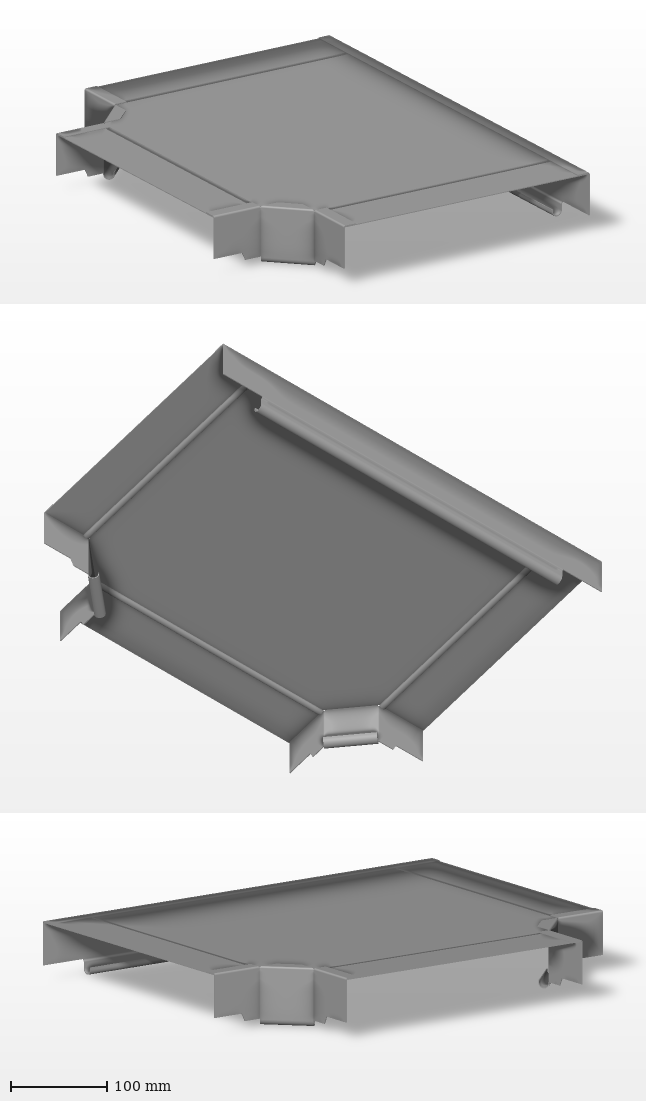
import cadquery as cq
import math


duct_width = 303.5
chamfer_leg = 40.0
branch_length = 58.0

sheet = 1.0
bend_radius = 2.0
corner_radius = 1.0
flange_width = 15.0
flange_relief = 1.0

end_depth = 47.5
wall_depth = 56.0
notch_length = 7.0
notch_slope = 0.8
total_depth = 63.0

hook_radius = 6.0
lip_depth = 54.5
joggle = 1.5
joggle_height = 3.0
back_hook_half_length = 198.0

groove_radius = 3.0
groove_offset = 0.5

half_width = duct_width / 2
corner_x = half_width + chamfer_leg
corner_y = -(duct_width + chamfer_leg)
end_x = corner_x + branch_length
end_y = corner_y - branch_length
plate_top = -sheet
plate_bottom = plate_top - sheet
groove_axis_offset = groove_offset + groove_radius
hook_axis_z = -total_depth + hook_radius
corner_angle = math.radians(45)
diagonal = math.cos(corner_angle)


def extrude_along(profile, start, inward, length):
    """Extrude a closed (inward, Z) profile along a wall whose outer face begins at start."""
    plane = cq.Plane(
        origin=(start[0], start[1], 0),
        xDir=(inward[0], inward[1], 0),
        normal=(inward[1], -inward[0], 0),
    )
    return profile(cq.Workplane(plane)).close().extrude(length)


def flange_profile(work):
    """Top flange with the rounded bend that leads down into the wall."""
    inner_radius = bend_radius - sheet
    mid = bend_radius * (1 - diagonal)
    inner_mid = bend_radius - inner_radius * diagonal
    return (
        work.moveTo(0, -bend_radius)
        .threePointArc((mid, -mid), (bend_radius, 0))
        .lineTo(flange_width, 0)
        .lineTo(flange_width, -sheet)
        .lineTo(bend_radius, -sheet)
        .threePointArc((inner_mid, -inner_mid), (sheet, -bend_radius))
    )


def hook_profile(work):
    """U-shaped hook that hangs from the bottom of a wall and turns inward."""
    inner_radius = hook_radius - sheet
    return (
        work.moveTo(0, -wall_depth)
        .lineTo(0, hook_axis_z)
        .threePointArc((hook_radius, -total_depth), (2 * hook_radius, hook_axis_z))
        .lineTo(2 * hook_radius, -lip_depth)
        .lineTo(2 * hook_radius - sheet, -lip_depth)
        .lineTo(2 * hook_radius - sheet, hook_axis_z)
        .threePointArc((hook_radius, hook_axis_z - inner_radius), (sheet, hook_axis_z))
        .lineTo(sheet, -wall_depth)
    )


def upper_wall_profile(work):
    """Flat part of the back wall, between its top bend and its step."""
    return (
        work.moveTo(0, -bend_radius)
        .lineTo(0, -end_depth)
        .lineTo(sheet, -end_depth)
        .lineTo(sheet, -bend_radius)
    )


def joggle_profile(work):
    """Part of the back wall that steps inward in an S-bend and leads down to the hook."""
    step_bottom = -end_depth - joggle_height
    step_middle = -end_depth - joggle_height / 2
    arc_radius = (joggle**2 + joggle_height**2) / (4 * joggle)
    return (
        work.moveTo(0, -end_depth)
        .radiusArc((joggle / 2, step_middle), -arc_radius)
        .radiusArc((joggle, step_bottom), arc_radius)
        .lineTo(joggle, -wall_depth)
        .lineTo(joggle + sheet, -wall_depth)
        .lineTo(joggle + sheet, step_bottom)
        .radiusArc((joggle / 2 + sheet, step_middle), -arc_radius)
        .radiusArc((sheet, -end_depth), arc_radius)
    )


def end_notch(end, inward, toward_end):
    """Cutter that shortens a wall near its open end, with a sloped inner edge."""
    plane = cq.Plane(origin=end + (0,), xDir=(0, 0, -1), normal=inward + (0,))
    along = plane.yDir.dot(cq.Vector(*toward_end, 0))
    outline = [
        (end_depth, 0),
        (end_depth, -along * notch_length),
        (wall_depth, -along * (notch_length + notch_slope)),
        (wall_depth, 0),
    ]
    return cq.Workplane(plane).polyline(outline).close().extrude(sheet)


def corner_line(inset):
    """Plan line of the right-hand corner wall, from branch end to stem end, moved inward."""
    mitre = inset * math.tan(corner_angle / 2)
    return [
        (end_x, -duct_width + inset),
        (corner_x - mitre, -duct_width + inset),
        (half_width - inset, corner_y + mitre),
        (half_width - inset, end_y),
    ]


def round_corners(wall):
    """Round the upright bends of the corner wall on both of its faces."""
    for inset, radius in ((0, corner_radius), (sheet, corner_radius + sheet)):
        for x, y in corner_line(inset)[1:3]:
            wall = wall.edges(cq.NearestToPointSelector((x, y, -wall_depth / 2))).fillet(radius)
    return wall


def make_corner_wall():
    """Right-hand corner wall: two straight legs joined by a 45 degree leg with a hook."""
    outline = corner_line(0) + corner_line(sheet)[::-1]
    wall = (
        cq.Workplane("XY")
        .workplane(offset=-wall_depth)
        .polyline(outline)
        .close()
        .extrude(wall_depth - bend_radius)
    )
    wall = round_corners(wall)
    wall = wall.cut(end_notch((end_x, -duct_width), (0, 1), (5, 0)))
    wall = wall.cut(end_notch((half_width, end_y), (-1, 0), (0, -5)))

    flange_length = branch_length - flange_relief
    branch_start = (corner_x + flange_relief, -duct_width)
    branch_flange = extrude_along(flange_profile, branch_start, (0, 1), flange_length)
    stem_flange = extrude_along(flange_profile, (half_width, end_y), (-1, 0), flange_length)

    slant_start = (half_width, corner_y)
    slant_inward = (-diagonal, diagonal)
    slant_length = chamfer_leg / diagonal
    slant_flange = extrude_along(flange_profile, slant_start, slant_inward, slant_length)
    corner_square = (
        cq.Workplane("XY", origin=(half_width, corner_y, -bend_radius))
        .rect(chamfer_leg, chamfer_leg, centered=False)
        .extrude(bend_radius)
    )
    slant_flange = slant_flange.intersect(corner_square)
    hook = extrude_along(hook_profile, slant_start, slant_inward, slant_length)

    return wall.union(branch_flange).union(stem_flange).union(slant_flange).union(hook)


def make_back_wall():
    """Straight wall over the full length, with top flange and a shorter stepped hook."""
    inward = (0, -1)
    full_length = 2 * end_x
    hook_length = 2 * back_hook_half_length
    hook_start = (back_hook_half_length, -joggle)
    wall = extrude_along(upper_wall_profile, (end_x, 0), inward, full_length)
    flange = extrude_along(flange_profile, (end_x, 0), inward, full_length)
    step = extrude_along(joggle_profile, (back_hook_half_length, 0), inward, hook_length)
    hook = extrude_along(hook_profile, hook_start, inward, hook_length)
    return wall.union(flange).union(step).union(hook)


def half_rod(radius, start, direction, length):
    """Lower half of a round rod whose axis lies in the plate's top face."""
    plane = cq.Plane(origin=start + (plate_top,), xDir=(0, 0, 1), normal=direction + (0,))
    return (
        cq.Workplane(plane)
        .moveTo(0, -radius)
        .threePointArc((-radius, 0), (0, radius))
        .close()
        .extrude(length)
    )


def make_plate():
    """T-shaped plate under the flanges, with a bending groove across each branch."""
    right_edge = corner_line(bend_radius)
    left_edge = [(-x, y) for x, y in reversed(right_edge)]
    back_edge = [(-end_x, -bend_radius), (end_x, -bend_radius)]
    plate = (
        cq.Workplane("XY")
        .workplane(offset=plate_bottom)
        .polyline(right_edge + left_edge + back_edge)
        .close()
        .extrude(sheet)
    )

    branch_groove_length = duct_width - 2 * bend_radius
    branch_groove_x = corner_x + groove_axis_offset
    branch_groove_y = -bend_radius - branch_groove_length
    stem_groove_x = half_width - bend_radius
    grooves = [
        ((-branch_groove_x, branch_groove_y), (0, 1), branch_groove_length),
        ((branch_groove_x, branch_groove_y), (0, 1), branch_groove_length),
        ((-stem_groove_x, corner_y - groove_axis_offset), (1, 0), 2 * stem_groove_x),
    ]
    for groove in grooves:
        plate = plate.union(half_rod(groove_radius + sheet, *groove))
    for groove in grooves:
        plate = plate.cut(half_rod(groove_radius, *groove))
    return plate


plate = make_plate()
back_wall = make_back_wall()
right_corner_wall = make_corner_wall()
corner_walls = [right_corner_wall.val(), right_corner_wall.mirror("YZ").val()]

result = cq.Compound.makeCompound([plate.val(), back_wall.val(), *corner_walls])